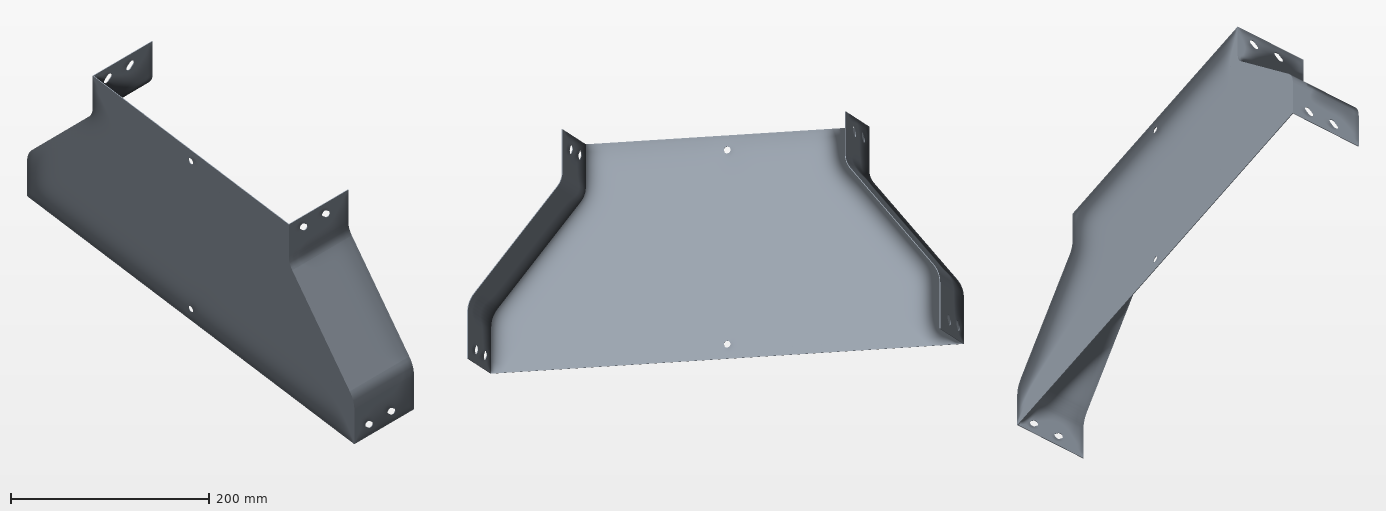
import cadquery as cq
import math

base_width = 500.0
neck_width = 300.0
height = 230.0
depth = 80.0
sheet = 0.75

slope_from_vertical = 40.0
lower_corner_height = 58.5
lower_bend_radius = 30.0
upper_bend_radius = 22.0

hole_diameter = 7.0
hole_edge_distance = 15.0
slot_width = hole_diameter
slot_length = 12.0
slot_tilt = 45.0
wall_slot_first = 20.0
wall_slot_spacing = 30.0

hole_heights = (hole_edge_distance, height - hole_edge_distance)


def tapered_block(inset):
    """Full-depth block with its side faces moved inward by inset."""
    base_half = base_width / 2 - inset
    neck_half = neck_width / 2 - inset
    slope = math.radians(slope_from_vertical)
    lower_z = lower_corner_height - inset * math.tan(slope / 2)
    upper_z = lower_z + (base_half - neck_half) / math.tan(slope)
    outline = [
        (-base_half, 0),
        (base_half, 0),
        (base_half, lower_z),
        (neck_half, upper_z),
        (neck_half, height),
        (-neck_half, height),
        (-neck_half, upper_z),
        (-base_half, lower_z),
    ]
    block = cq.Workplane("XZ").polyline(outline).close().extrude(-depth)
    bend_middle = (lower_z + upper_z) / 2
    margin = min(lower_z, height - upper_z) / 2
    lower_bends = cq.selectors.BoxSelector(
        (-base_width, -depth, margin), (base_width, 2 * depth, bend_middle)
    )
    upper_bends = cq.selectors.BoxSelector(
        (-base_width, -depth, bend_middle), (base_width, 2 * depth, height - margin)
    )
    block = block.edges("|Y").edges(lower_bends).fillet(lower_bend_radius - inset)
    return block.edges("|Y").edges(upper_bends).fillet(upper_bend_radius + inset)


def plate_holes():
    """Drills through the front plate on the centre line."""
    return (
        cq.Workplane("XZ")
        .pushPoints([(0, z) for z in hole_heights])
        .circle(hole_diameter / 2)
        .extrude(-depth)
    )


def wall_slots(side):
    """Drills tilted slots through one side wall; side is -1 for -X, +1 for +X."""
    slot_depths = (wall_slot_first, wall_slot_first + wall_slot_spacing)
    return (
        cq.Workplane("YZ")
        .pushPoints([(y, z) for y in slot_depths for z in hole_heights])
        .slot2D(slot_length, slot_width, -side * slot_tilt)
        .extrude(side * base_width / 2)
    )


cavity = tapered_block(sheet).translate((0, sheet, 0))
tray = tapered_block(0).cut(cavity)
tray = tray.cut(plate_holes())

result = tray.cut(wall_slots(-1)).cut(wall_slots(1))